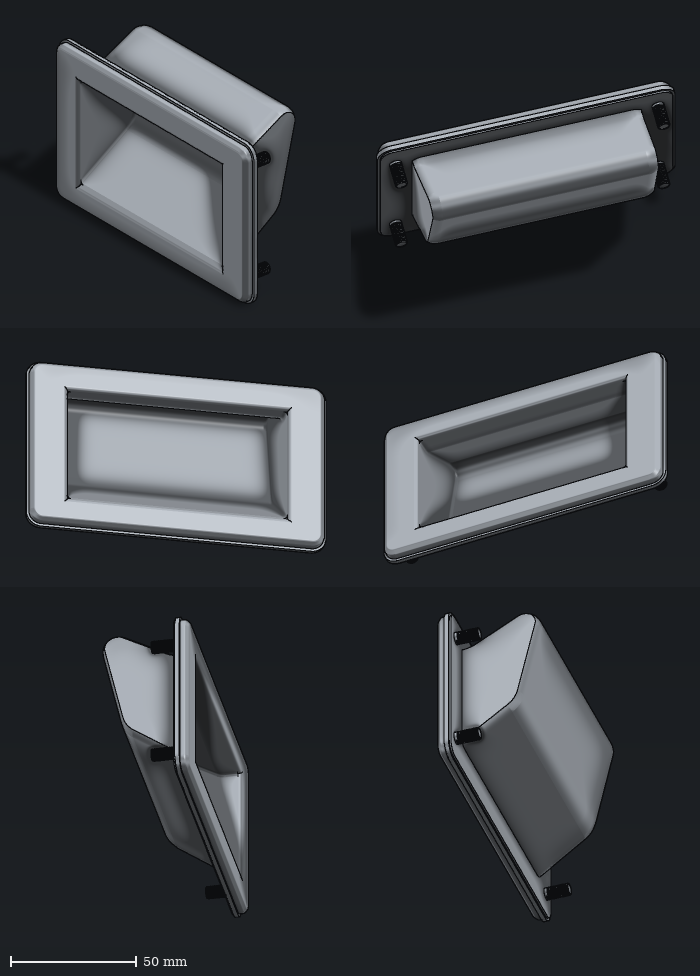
import cadquery as cq
import math

WIDTH = 122.4
FLANGE_HEIGHT = 72.3
FLANGE_CORNER_RADIUS = 6.1
FLANGE_FRONT = 3.7
FLANGE_BACK = 5.5
FRAME_INSET = 1.1
FRAME_THICKNESS = 6.2
FRAME_BEVEL = 1.6
FRAME_BEVEL_EDGE_RADIUS = 1.0

OVERALL_DEPTH = 38.5
OVERALL_HEIGHT = 74.2
ROOF_ANGLE = 29.0
FLOOR_ANGLE = 35.4
BACK_ANGLE = 13.0
APEX_RADIUS = 6.5
BEND_RADIUS = 12.2
ROOF_LANDING_Z = 62.2
ROOF_BLEND_RADIUS = 8.6
FLOOR_FRONT_Z = 8.6
TUB_WIDTH = 94.2
SIDE_DRAFT = 1.3
TUB_EDGE_RADIUS = 6.0
TUB_EDGE_TRIM = 2.0

WALL = 2.2
SIDE_WALL = 2.3
CEILING_WALL = 2.7
POCKET_EDGE_RADIUS = 1.3
SILL_TOP_Z = 12.6
SILL_ANGLE = 45.0
MOUTH_RADIUS = 1.6

STUD_SIDE_INSET = 7.2
STUD_SPACING_Z = 50.2
STUD_DIAMETER = 5.0
STUD_END = 16.3
STUD_TIP_CHAMFER = 0.4
THREAD_PITCH = 0.8
THREAD_DEPTH = 0.43
THREAD_LENGTH = 9.4
THREAD_START = 0.9
GROOVE_HALF_WIDTH = 0.35
GROOVE_OVERCUT = 0.06
GROOVE_START_ANGLE = 60.0

MID_Z = FLANGE_HEIGHT / 2
CLEARANCE = 12.2
FLOOR_SLOPE = math.tan(math.radians(FLOOR_ANGLE))


def rounded_slab(inset, front, back):
    """A rounded rectangle, set in from the flange outline, between two Y planes."""
    return (
        cq.Workplane("XZ", origin=(0, front, MID_Z))
        .rect(WIDTH - 2 * inset, FLANGE_HEIGHT - 2 * inset)
        .extrude(front - back)
        .edges("|Y")
        .fillet(FLANGE_CORNER_RADIUS - inset)
    )


def edges_at(y):
    """Selects the edges whose centres lie on the plane at `y`."""
    tolerance = 0.01
    return cq.selectors.BoxSelector((-WIDTH, y - tolerance, 0), (WIDTH, y + tolerance, OVERALL_HEIGHT))


def make_frame():
    plate = rounded_slab(FRAME_INSET, 0, FRAME_THICKNESS)
    plate = plate.faces("<Y").edges().chamfer(FRAME_BEVEL)
    plate = plate.edges(edges_at(0) + edges_at(FRAME_BEVEL)).fillet(FRAME_BEVEL_EDGE_RADIUS)
    return plate.union(rounded_slab(0, FLANGE_FRONT, FLANGE_BACK))


def crossing(line_a, line_b):
    """Where two lines in the YZ plane meet; each is (y, z, degrees from +Y)."""
    ay, az, a_degrees = line_a
    by, bz, b_degrees = line_b
    a_turn = math.radians(a_degrees)
    b_turn = math.radians(b_degrees)
    along = (by - ay) * math.sin(b_turn) - (bz - az) * math.cos(b_turn)
    along /= math.sin(b_turn - a_turn)
    return ay + along * math.cos(a_turn), az + along * math.sin(a_turn)


def floor_front_z(wall):
    """Height at Y = 0 of the floor line moved inward by `wall`."""
    return FLOOR_FRONT_Z + wall / math.cos(math.radians(FLOOR_ANGLE))


def grip_prism(wall, landing_z):
    """The side outline of the grip, moved inward by `wall`, as a prism along X."""
    apex_radius = APEX_RADIUS - wall
    centre_y = OVERALL_DEPTH - APEX_RADIUS
    centre_z = OVERALL_HEIGHT - APEX_RADIUS
    roof_turn = math.radians(ROOF_ANGLE)
    back_turn = math.radians(BACK_ANGLE)

    roof = (
        centre_y - apex_radius * math.sin(roof_turn),
        centre_z + apex_radius * math.cos(roof_turn),
        ROOF_ANGLE,
    )
    back = (
        centre_y + apex_radius * math.cos(back_turn),
        centre_z - apex_radius * math.sin(back_turn),
        90 - BACK_ANGLE,
    )
    floor = (0, floor_front_z(wall), FLOOR_ANGLE)
    landing = (0, landing_z, 0)
    front = (-CLEARANCE, 0, 90)

    knee = crossing(landing, roof)
    apex = crossing(roof, back)
    bend = crossing(back, floor)
    outline = [crossing(front, landing), knee, apex, bend, crossing(floor, front)]
    prism = cq.Workplane("YZ").polyline(outline).close().extrude(WIDTH / 2, both=True)

    rounds = [(knee, ROOF_BLEND_RADIUS), (apex, apex_radius), (bend, BEND_RADIUS - wall)]
    for (y, z), radius in rounds:
        prism = prism.edges(cq.selectors.NearestToPointSelector((0, y, z))).fillet(radius)
    return prism


def drafted_block(width, front):
    """A block behind `front`, `width` wide at the back of the frame, narrowing to the rear."""
    back = OVERALL_DEPTH + CLEARANCE
    draft = math.tan(math.radians(SIDE_DRAFT))
    half_front = width / 2 + draft * (FRAME_THICKNESS - front)
    half_back = width / 2 + draft * (FRAME_THICKNESS - back)
    corners = [(-half_front, front), (half_front, front), (half_back, back), (-half_back, back)]
    return cq.Workplane("XY").polyline(corners).close().extrude(OVERALL_HEIGHT + CLEARANCE)


def round_sides(body, radius):
    """Rounds the edges of the two side faces, leaving their front edges sharp."""
    return body.faces("<X or >X").edges().edges("not <Y").fillet(radius)


def make_tub():
    grip = grip_prism(0, ROOF_LANDING_Z)
    tub = grip.intersect(drafted_block(TUB_WIDTH + 2 * TUB_EDGE_TRIM, FLANGE_FRONT))
    tub = round_sides(tub, TUB_EDGE_RADIUS)
    return tub.intersect(drafted_block(TUB_WIDTH, FLANGE_FRONT))


def sill_wedge():
    """The steeper strip by which the pocket floor drops to the front face."""
    sill_y = (SILL_TOP_Z - floor_front_z(WALL)) / FLOOR_SLOPE
    drop = (sill_y + CLEARANCE) * math.tan(math.radians(SILL_ANGLE))
    corners = [(sill_y, SILL_TOP_Z), (-CLEARANCE, SILL_TOP_Z), (-CLEARANCE, SILL_TOP_Z - drop)]
    return cq.Workplane("YZ").polyline(corners).close().extrude(WIDTH / 2, both=True)


def make_sharp_pocket():
    space = grip_prism(WALL, ROOF_LANDING_Z - CEILING_WALL).union(sill_wedge())
    return space.intersect(drafted_block(TUB_WIDTH - 2 * SIDE_WALL, 0))


def make_mouth(sharp_pocket):
    """The flared opening at the front face, with mitred corners."""
    rim = rounded_slab(FRAME_INSET, 0, FRAME_THICKNESS).cut(sharp_pocket)
    opening = cq.selectors.BoxSelector(
        (-TUB_WIDTH / 2, -MOUTH_RADIUS, FLOOR_FRONT_Z), (TUB_WIDTH / 2, MOUTH_RADIUS, ROOF_LANDING_Z)
    )
    rim = rim.faces("<Y").edges(opening).fillet(MOUTH_RADIUS)
    return rounded_slab(FRAME_INSET, 0, MOUTH_RADIUS).cut(rim)


def make_housing():
    sharp_pocket = make_sharp_pocket()
    pocket = round_sides(sharp_pocket, POCKET_EDGE_RADIUS)
    return make_frame().union(make_tub()).cut(pocket).cut(make_mouth(sharp_pocket))


def thread_groove():
    """A V-section helical groove that runs out past the tip of the stud."""
    radius = STUD_DIAMETER / 2
    path = cq.Wire.makeHelix(THREAD_PITCH, THREAD_LENGTH, radius)
    path = path.translate(cq.Vector(0, 0, THREAD_START))
    section = [
        (radius - THREAD_DEPTH, THREAD_START),
        (radius + GROOVE_OVERCUT, THREAD_START - GROOVE_HALF_WIDTH),
        (radius + GROOVE_OVERCUT, THREAD_START + GROOVE_HALF_WIDTH),
    ]
    groove = cq.Workplane("XZ").polyline(section).close().sweep(cq.Workplane(path), isFrenet=True)
    return groove.rotate((0, 0, 0), (0, 0, 1), GROOVE_START_ANGLE)


def make_stud():
    """One stud, pointing along +Y from the back face of the frame."""
    length = STUD_END - FRAME_THICKNESS
    rod = cq.Workplane("XY").circle(STUD_DIAMETER / 2).extrude(length)
    rod = rod.faces(">Z").chamfer(STUD_TIP_CHAMFER)
    stud = rod.cut(thread_groove())
    return stud.rotate((0, 0, 0), (1, 0, 0), -90).translate((0, FRAME_THICKNESS, 0))


def make_studs():
    pattern_x = WIDTH / 2 - STUD_SIDE_INSET
    pattern_z = STUD_SPACING_Z / 2
    stud = make_stud()
    studs = []
    for side in (-1, 1):
        for level in (-1, 1):
            place = (side * pattern_x, 0, MID_Z + level * pattern_z)
            studs.append(stud.translate(place).val())
    return studs


housing = make_housing()
studs = make_studs()
result = cq.Compound.makeCompound([housing.val(), *studs])